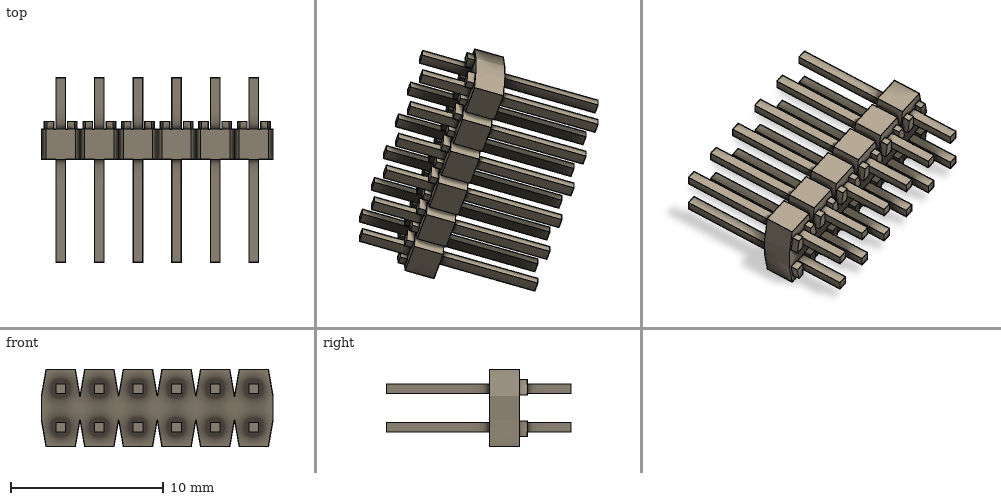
import cadquery as cq

columns = 6
rows = 2
body_length = 15.24
pitch = body_length / columns
body_height = rows * pitch
body_depth = 2.0

cell_taper = 0.3
cell_waist_height = 1.57

pin_width = 0.64
pin_length = 12.15
pin_tail_length = 3.38

foot_depth = 0.5
foot_edge_gap = 0.65
foot_height = 1.04
foot_side_gap = 0.18
foot_inner_gap = 0.82

taper_height = (body_height - cell_waist_height) / 2
foot_taper = cell_taper * foot_height / taper_height

column_centers = [(i - (columns - 1) / 2) * pitch for i in range(columns)]
row_centers = [(i - (rows - 1) / 2) * pitch for i in range(rows)]


def extrude_outline(points, y_start, depth):
    """Extrude an x-z outline by depth from y_start toward +Y."""
    plane = cq.Workplane("XZ", origin=(0, y_start + depth, 0))
    return plane.polyline(points).close().extrude(depth)


def make_cell():
    """Octagonal housing block for one column of pins."""
    half_width = pitch / 2
    half_top = half_width - cell_taper
    half_height = body_height / 2
    half_waist = cell_waist_height / 2
    outline = [
        (-half_top, half_height),
        (half_top, half_height),
        (half_width, half_waist),
        (half_width, -half_waist),
        (half_top, -half_height),
        (-half_top, -half_height),
        (-half_width, -half_waist),
        (-half_width, half_waist),
    ]
    return extrude_outline(outline, -body_depth, body_depth)


def make_feet():
    """Four standoff feet of one cell, their outer sides parallel to the cell taper."""
    outer = pitch / 2 - foot_side_gap
    inner = pitch / 2 - foot_inner_gap
    top = body_height / 2 - foot_edge_gap
    bottom = top - foot_height
    outline = [
        (inner, bottom),
        (outer, bottom),
        (outer - foot_taper, top),
        (inner, top),
    ]
    foot = extrude_outline(outline, 0, foot_depth)
    upper_pair = foot.union(foot.mirror("YZ"))
    return upper_pair.union(upper_pair.mirror("XY"))


def make_pins():
    """Pins of one column, passing through the housing."""
    pins = cq.Workplane("XY")
    for z in row_centers:
        pin = cq.Workplane("XY").box(pin_width, pin_length, pin_width)
        pins = pins.union(pin.translate((0, pin_tail_length - pin_length / 2, z)))
    return pins


column = make_cell().union(make_feet()).union(make_pins())

result = cq.Workplane("XY")
for x in column_centers:
    result = result.union(column.translate((x, 0, 0)))